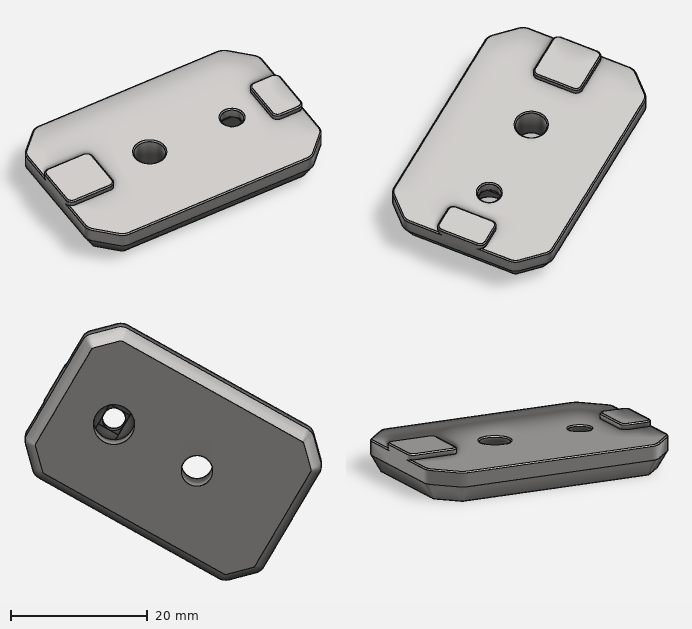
import cadquery as cq

length = 40.0
width = 26.0
plate_top = 4.9
taper_height = 2.6
taper_angle = 30.0
corner_cut = 4.0
corner_radius = 2.0
edge_chamfer = 0.2

total_height = 5.8
pad_width = 7.8
front_pad_length = 8.0
rear_pad_length = 5.0
pad_corner_radius = 1.0

large_hole_diameter = 4.6
large_hole_y = -4.0
small_hole_diameter = 3.4
small_hole_y = 10.0
counterbore_diameter = 6.0
counterbore_depth = 2.9
bridge_step = 0.2


def make_plate():
    """Octagonal plate with rounded corners and a lower part that tapers inward."""
    outline = (
        cq.Sketch()
        .rect(width, length)
        .vertices()
        .chamfer(corner_cut)
        .reset()
        .vertices()
        .fillet(corner_radius)
    )
    middle = cq.Workplane("XY", origin=(0, 0, taper_height)).placeSketch(outline)
    upper = (
        middle.extrude(plate_top - taper_height)
        .faces(">Z")
        .edges()
        .chamfer(edge_chamfer)
    )
    lower = middle.extrude(-taper_height, taper=taper_angle)
    return upper.union(lower)


def make_pad(pad_length, end):
    """Pad at the -Y end (end = -1) or +Y end (end = 1), rooted below the plate's edge chamfer."""
    root_z = plate_top - edge_chamfer
    return (
        cq.Workplane("XY", origin=(0, end * (length - pad_length) / 2, root_z))
        .rect(pad_width, pad_length)
        .extrude(total_height - root_z)
        .edges("|Z")
        .fillet(pad_corner_radius)
        .faces(">Z")
        .edges()
        .chamfer(edge_chamfer)
    )


def make_hole_cutter(diameter, y):
    """Through hole with a chamfered upper rim."""
    rim_diameter = diameter + 2 * edge_chamfer
    bore = cq.Workplane("XY", origin=(0, y, 0)).circle(diameter / 2).extrude(plate_top)
    rim = (
        cq.Workplane("XY", origin=(0, y, plate_top))
        .circle(rim_diameter / 2)
        .extrude(-edge_chamfer, taper=45)
    )
    return bore.union(rim)


def make_counterbore_cutter():
    """Recess from below whose roof narrows to the bore in two steps: a slot along X, then a square."""
    recess = (
        cq.Workplane("XY", origin=(0, small_hole_y, 0))
        .circle(counterbore_diameter / 2)
        .extrude(counterbore_depth)
    )
    slot = (
        cq.Workplane("XY", origin=(0, small_hole_y, counterbore_depth))
        .rect(counterbore_diameter, small_hole_diameter)
        .extrude(bridge_step)
        .intersect(recess.translate((0, 0, bridge_step)))
    )
    square = (
        cq.Workplane("XY", origin=(0, small_hole_y, counterbore_depth + bridge_step))
        .rect(small_hole_diameter, small_hole_diameter)
        .extrude(bridge_step)
    )
    return recess.union(slot).union(square)


result = (
    make_plate()
    .union(make_pad(front_pad_length, -1))
    .union(make_pad(rear_pad_length, 1))
    .cut(make_hole_cutter(large_hole_diameter, large_hole_y))
    .cut(make_hole_cutter(small_hole_diameter, small_hole_y))
    .cut(make_counterbore_cutter())
)